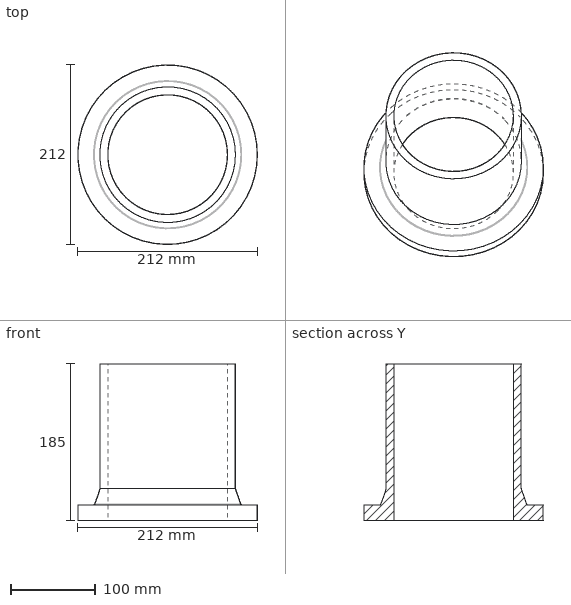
import cadquery as cq

flange_diameter = 212.0
total_height = 185.0
flange_thickness = 18.7

pipe_diameter = 160.0
bore_diameter = 141.0
hub_base_diameter = 173.5
hub_top_height = 38.0

root_fillet_radius = 1.0

flange_radius = flange_diameter / 2
pipe_radius = pipe_diameter / 2
bore_radius = bore_diameter / 2
hub_base_radius = hub_base_diameter / 2

half_section = (
    cq.Workplane("XZ")
    .moveTo(bore_radius, 0)
    .lineTo(flange_radius, 0)
    .lineTo(flange_radius, flange_thickness)
    .lineTo(hub_base_radius, flange_thickness)
    .lineTo(pipe_radius, hub_top_height)
    .lineTo(pipe_radius, total_height)
    .lineTo(bore_radius, total_height)
    .close()
)
stub_end = half_section.revolve(360, (0, 0, 0), (0, 1, 0))

hub_root = cq.selectors.RadiusNthSelector(2)
result = stub_end.edges(hub_root).fillet(root_fillet_radius)